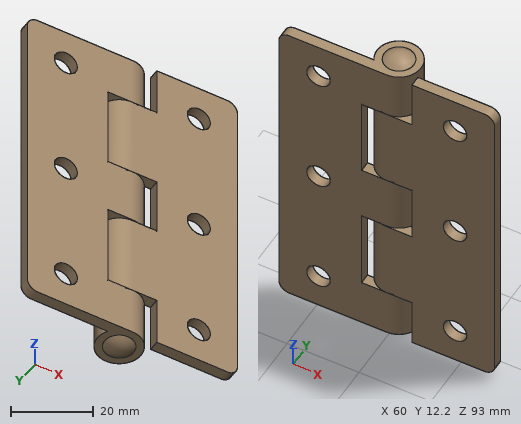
import cadquery as cq

hinge_width = 60.0
hinge_length = 93.0
dome_height = 1.5
leaf_thickness = 3.0
corner_radius = 3.0
knuckle_radius = 6.1
pin_radius = 4.1
clearance_half_width = 7.0
hole_diameter = 6.5
hole_offset = 19.0
hole_spacing = 35.0
knuckle_inner_z = 8.1
knuckle_outer_z = 31.2
axial_gap = 0.3

half_width = hinge_width / 2
leaf_length = hinge_length - 2 * dome_height
half_length = leaf_length / 2
leaf_front_y = -knuckle_radius

right_knuckles = [
    (-knuckle_outer_z, -knuckle_inner_z),
    (knuckle_inner_z, knuckle_outer_z),
]
left_knuckles = [
    (-half_length, -knuckle_outer_z),
    (-knuckle_inner_z + axial_gap, knuckle_inner_z),
    (knuckle_outer_z, half_length),
]


def plate(x_start, x_end, bottom, top):
    """Flat plate of leaf thickness between two X and two Z positions."""
    return cq.Workplane("XY").box(
        x_end - x_start, leaf_thickness, top - bottom, centered=False
    ).translate((x_start, leaf_front_y, bottom))


def cylinder(radius, bottom, top):
    """Cylinder on the hinge axis."""
    return cq.Workplane("XY").workplane(offset=bottom).circle(radius).extrude(top - bottom)


def make_leaf(side, knuckles):
    """Leaf with rolled knuckles; side is -1 for the left leaf and 1 for the right."""
    inner_x = side * clearance_half_width
    outer_x = side * half_width
    leaf = plate(min(inner_x, outer_x), max(inner_x, outer_x), -half_length, half_length)
    outer_side = "<X" if side < 0 else ">X"
    leaf = leaf.faces(outer_side).edges("|Y").fillet(corner_radius)

    for bottom, top in knuckles:
        strap = plate(min(0, inner_x), max(0, inner_x), bottom, top)
        leaf = leaf.union(strap).union(cylinder(knuckle_radius, bottom, top))
    leaf = leaf.cut(cylinder(pin_radius, -half_length, half_length))

    hole_centres = [(side * hole_offset, row * hole_spacing) for row in (-1, 0, 1)]
    holes = (
        cq.Workplane("XZ", origin=(0, leaf_front_y, 0))
        .pushPoints(hole_centres)
        .circle(hole_diameter / 2)
        .extrude(-leaf_thickness)
    )
    return leaf.cut(holes)


def make_pin():
    """Revolved pin with a shallow spherical dome on each end."""
    tip_z = half_length + dome_height
    dome_radius = (pin_radius**2 + dome_height**2) / (2 * dome_height)
    mid_x = pin_radius / 2
    mid_z = tip_z - dome_radius + (dome_radius**2 - mid_x**2) ** 0.5
    return (
        cq.Workplane("XZ")
        .moveTo(0, -tip_z)
        .threePointArc((mid_x, -mid_z), (pin_radius, -half_length))
        .lineTo(pin_radius, half_length)
        .threePointArc((mid_x, mid_z), (0, tip_z))
        .close()
        .revolve(360, (0, 0, 0), (0, 1, 0))
    )


left_leaf = make_leaf(-1, left_knuckles)
right_leaf = make_leaf(1, right_knuckles)
pin = make_pin()

result = cq.Compound.makeCompound([*left_leaf.solids().vals(), *right_leaf.solids().vals(), pin.val()])